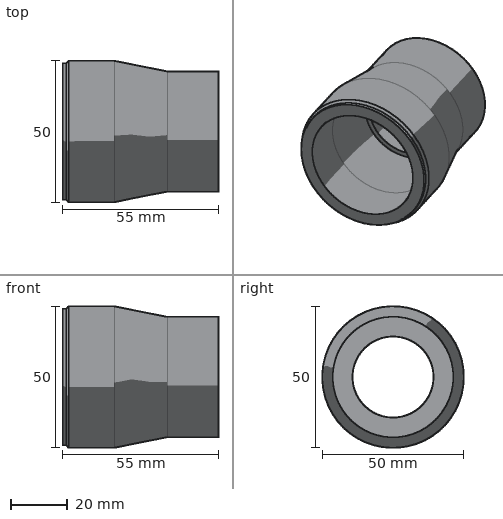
import cadquery as cq

total_length = 55.0
lip_length = 1.3
cone_start = 18.15
bore_cone_start = 16.05

cone_length = 18.7

lip_diameter = 48.25
large_diameter = 50.0
small_diameter = 42.5

large_bore = 39.5
throat_bore = 32.0
small_bore = 28.5

chamfer = (large_diameter - lip_diameter) / 2


def revolve_about_x(profile):
    """Turn (x, diameter) stations into a solid of revolution about the X axis."""
    points = [(x, diameter / 2) for x, diameter in profile]
    axis_start = (points[0][0], 0)
    axis_end = (points[-1][0], 0)
    outline = cq.Workplane("XY").polyline([axis_start, *points, axis_end]).close()
    return outline.revolve(360, (0, 0, 0), (1, 0, 0))


body = revolve_about_x([
    (0, lip_diameter),
    (lip_length, lip_diameter),
    (lip_length + chamfer, large_diameter),
    (cone_start, large_diameter),
    (cone_start + cone_length, small_diameter),
    (total_length, small_diameter),
])

bore_cone_end = bore_cone_start + cone_length
bore = revolve_about_x([
    (0, large_bore),
    (bore_cone_start, large_bore),
    (bore_cone_end, throat_bore),
    (bore_cone_end, small_bore),
    (total_length, small_bore),
])

result = body.cut(bore)